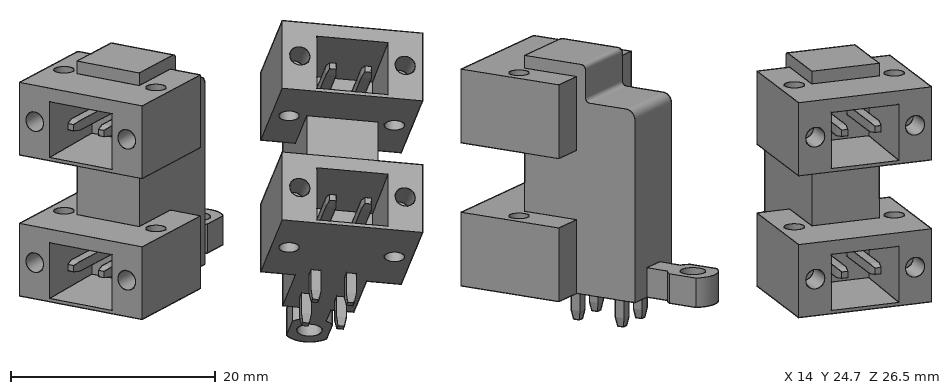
import cadquery as cq


block_width = 14.0
block_depth = 11.1
block_height = 7.5
level_pitch = 14.55
block_levels = [0.0, level_pitch]

column_width = 7.1
column_front = 5.2
column_rear = 17.7
column_top = 23.35
step_y = 12.1
shelf_height = 19.55
rear_edge_radius = 1.0
step_radius = 0.5

cavity_width = column_width
cavity_floor = 0.35
cavity_ceiling = 6.1
cavity_depth = 8.0
cavity_draft_rise = 0.2

screw_hole_diameter = 2.0
screw_hole_offset = 5.25
front_hole_height = block_height / 2
front_hole_depth = 3.0
vertical_hole_y = block_depth / 2

lug_height = 3.0
lug_eye_radius = 2.5
lug_width = 4.0
lug_neck_width = 2.5
lug_hole_diameter = 2.5
lug_end_y = 24.7
lug_eye_y = lug_end_y - lug_eye_radius

pin_size = 1.0
pin_tip_size = 0.65
pin_tip_length = 0.95
pin_pitch = 3.5
pin_columns = [-pin_pitch / 2, pin_pitch / 2]
pin_height_in_block = 3.5
pin_front_y = 1.0
pin_bottom_z = -3.15
lower_leg_y = 10.2
leg_pitch = 5.0


def make_column():
    """Stepped column with rounded step edges, centred on X = 0."""
    column = (
        cq.Workplane("YZ")
        .moveTo(column_front, 0)
        .lineTo(column_rear, 0)
        .lineTo(column_rear, shelf_height)
        .lineTo(step_y, shelf_height)
        .lineTo(step_y, column_top)
        .lineTo(column_front, column_top)
        .close()
        .extrude(column_width / 2, both=True)
    )
    rear_edge = cq.selectors.NearestToPointSelector((0, column_rear, shelf_height))
    step_root = cq.selectors.NearestToPointSelector((0, step_y, shelf_height))
    step_top = cq.selectors.NearestToPointSelector((0, step_y, column_top))
    column = column.edges(rear_edge).fillet(rear_edge_radius)
    column = column.edges(step_root).fillet(step_radius)
    return column.edges(step_top).fillet(step_radius)


def make_block(level):
    """Plain connector block standing on the given level."""
    return cq.Workplane("XY", origin=(0, block_depth / 2, level)).box(
        block_width, block_depth, block_height, centered=(True, True, False)
    )


def make_cavity(level):
    """Pocket open to the front, with sloping floor and ceiling."""
    floor = level + cavity_floor
    ceiling = level + cavity_ceiling
    return (
        cq.Workplane("YZ")
        .moveTo(0, floor)
        .lineTo(cavity_depth, floor + cavity_draft_rise)
        .lineTo(cavity_depth, ceiling - cavity_draft_rise)
        .lineTo(0, ceiling)
        .close()
        .extrude(cavity_width / 2, both=True)
    )


def make_front_holes(level):
    """Pair of blind screw holes in the mating face."""
    return (
        cq.Workplane("XZ", origin=(0, 0, level + front_hole_height))
        .pushPoints([(-screw_hole_offset, 0), (screw_hole_offset, 0)])
        .circle(screw_hole_diameter / 2)
        .extrude(-front_hole_depth)
    )


def make_vertical_holes():
    """Pair of screw holes passing through both blocks."""
    return (
        cq.Workplane("XY")
        .pushPoints([(-screw_hole_offset, vertical_hole_y), (screw_hole_offset, vertical_hole_y)])
        .circle(screw_hole_diameter / 2)
        .extrude(column_top)
    )


def make_lug():
    """Solder lug: a round eye with flat sides on a narrow neck."""
    eye = cq.Workplane("XY", origin=(0, lug_eye_y, 0)).circle(lug_eye_radius).extrude(lug_height)
    side_trim = cq.Workplane("XY", origin=(0, lug_eye_y, 0)).box(
        lug_width, 2 * lug_eye_radius, lug_height, centered=(True, True, False)
    )
    neck = cq.Workplane("XY", origin=(0, column_rear, 0)).box(
        lug_neck_width, lug_eye_y - column_rear, lug_height, centered=(True, False, False)
    )
    hole = cq.Workplane("XY", origin=(0, lug_eye_y, 0)).circle(lug_hole_diameter / 2).extrude(lug_height)
    return eye.intersect(side_trim).union(neck).cut(hole)


def make_tip(base_plane):
    """Tapered pin tip that grows from the base plane along its normal."""
    return (
        cq.Workplane(base_plane)
        .rect(pin_size, pin_size)
        .workplane(offset=pin_tip_length)
        .rect(pin_tip_size, pin_tip_size)
        .loft(combine=True)
    )


def make_pin(x, contact_z, leg_y):
    """Right-angle pin: a contact pointing forwards and a leg pointing down."""
    contact_start = pin_front_y + pin_tip_length
    leg_end = pin_bottom_z + pin_tip_length
    half = pin_size / 2
    shank = (
        cq.Workplane("YZ", origin=(x, 0, 0))
        .moveTo(contact_start, contact_z + half)
        .lineTo(leg_y + half, contact_z + half)
        .lineTo(leg_y + half, leg_end)
        .lineTo(leg_y - half, leg_end)
        .lineTo(leg_y - half, contact_z - half)
        .lineTo(contact_start, contact_z - half)
        .close()
        .extrude(half, both=True)
    )
    contact_tip = make_tip(cq.Plane((x, contact_start, contact_z), (1, 0, 0), (0, -1, 0)))
    leg_tip = make_tip(cq.Plane((x, leg_y, leg_end), (1, 0, 0), (0, 0, -1)))
    return shank.union(contact_tip).union(leg_tip)


pins = []
for row, level in enumerate(block_levels):
    for x in pin_columns:
        pins.append(make_pin(x, level + pin_height_in_block, lower_leg_y + row * leg_pitch))

housing = make_column().union(make_lug())
for level in block_levels:
    housing = housing.union(make_block(level))
for level in block_levels:
    housing = housing.cut(make_cavity(level)).cut(make_front_holes(level))
housing = housing.cut(make_vertical_holes())
for pin in pins:
    housing = housing.cut(pin)

result = cq.Compound.makeCompound([housing.val(), *[pin.val() for pin in pins]])